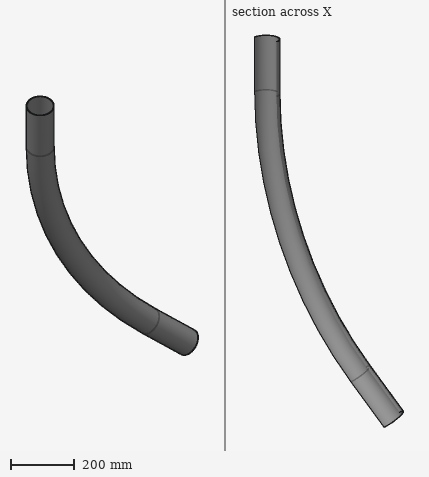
import cadquery as cq
import math

outer_diameter = 89.0
bore_diameter = 83.0

height = 1197.0
leg_length = 180.0
bend_angle = 45.0

turn = math.radians(bend_angle)
outer_radius = outer_diameter / 2
bend_height = height - leg_length * (1 + math.cos(turn)) - outer_radius * math.sin(turn)
bend_radius = bend_height / math.sin(turn)


def bend_point(angle):
    """Centreline point (Y, Z) after turning by angle from the vertical leg."""
    return (bend_radius * (1 - math.cos(angle)), -leg_length - bend_radius * math.sin(angle))


bend_end = bend_point(turn)
lower_end = (
    bend_end[0] + leg_length * math.sin(turn),
    bend_end[1] - leg_length * math.cos(turn),
)

centreline = (
    cq.Workplane("YZ")
    .lineTo(0, -leg_length)
    .threePointArc(bend_point(turn / 2), bend_end)
    .lineTo(*lower_end)
)

result = (
    cq.Workplane("XY")
    .circle(outer_radius)
    .circle(bore_diameter / 2)
    .sweep(centreline)
)